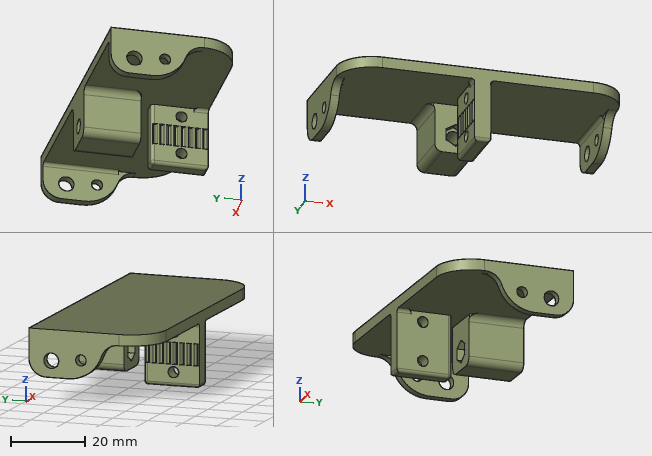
import cadquery as cq
import math


length = 79.7
width = 35.9
plate_thickness = 3.1
plate_corner_radius = 10.0

ear_thickness = 2.5
ear_depth = 13.2
ear_rear_radius = 5.0
ear_front_radius = 10.05
ear_root_radius = 5.0
ear_flat_end = 11.4
pivot_hole_diameter = 4.2
pivot_hole_setback = 6.45
pivot_hole_depth = 8.6
pin_hole_diameter = 3.0
pin_hole_setback = 15.0
pin_hole_depth = 7.9

root_fillet = 0.95
tab_root_fillet = 2.0
tab_root_front_step = 0.3

tab_width = 11.95
tab_length = 15.95
tab_depth = 17.05
tab_centre_x = -2.8
tab_corner_radius = 2.15
screw_hole_diameter = 4.0
screw_hole_depth = 11.8
nut_across_flats = 5.5
nut_pocket_length = 2.4

blade_thickness = 4.6
blade_length = 15.95
blade_depth = 21.0
blade_centre_x = -1.5
blade_edge_fillet = 0.95
blade_root_fillet_length = 3.1
clamp_hole_diameter = 3.0
clamp_hole_from_front = 7.5
clamp_hole_depths = (6.0, 17.05)
tooth_count = 8
tooth_pitch = blade_length / tooth_count
tooth_half_width = 0.7
tooth_entry_radius = 0.2
tooth_bottom_radius = 0.55
tooth_top_depth = 8.85
tooth_height = 6.05

plate_bottom = -plate_thickness
cos_45 = math.sqrt(0.5)


def block(x_min, x_max, y_min, y_max, z_min, z_max):
    size = (x_max - x_min, y_max - y_min, z_max - z_min)
    return cq.Workplane("XY").box(*size, centered=False).translate((x_min, y_min, z_min))


def cylinder_along_x(x_start, span, y, z, diameter):
    return cq.Workplane("YZ", origin=(x_start, y, z)).circle(diameter / 2).extrude(span)


def root_strip(wall_x, side, radius, plan):
    """Concave fillet between the plate and a wall at wall_x, kept inside the plan outline.

    side is -1 or +1, the direction the wall faces. The plan points are (distance from wall, y).
    """
    arc_offset = radius * (1 - cos_45)
    profile = (
        cq.Workplane("XZ", origin=(wall_x, 0, plate_bottom))
        .lineTo(side * radius, 0)
        .threePointArc((side * arc_offset, -arc_offset), (0, -radius))
        .close()
        .extrude(width)
    )
    outline = [(wall_x + side * distance, y) for distance, y in plan]
    base = cq.Workplane("XY", origin=(0, 0, plate_bottom - radius))
    limits = base.polyline(outline).close().extrude(radius)
    return profile.intersect(limits)


def straight_plan(radius, y_min, y_max):
    return [(0, y_min), (radius, y_min), (radius, y_max), (0, y_max)]


def make_plate():
    plate = block(-length / 2, length / 2, -width, 0, plate_bottom, 0)
    return plate.edges("|Z and <Y").fillet(plate_corner_radius)


def make_ear(side):
    drop = ear_depth - plate_thickness
    radius_sum = ear_front_radius + ear_root_radius
    sweep = math.acos(1 - drop / radius_sum)

    front_centre = (-ear_flat_end, -ear_depth + ear_front_radius)
    root_centre = (-ear_flat_end - radius_sum * math.sin(sweep), plate_bottom - ear_root_radius)

    def front_point(angle):
        return (
            front_centre[0] - ear_front_radius * math.sin(angle),
            front_centre[1] - ear_front_radius * math.cos(angle),
        )

    def root_point(angle):
        return (
            root_centre[0] + ear_root_radius * math.sin(angle),
            root_centre[1] + ear_root_radius * math.cos(angle),
        )

    rear_offset = ear_rear_radius * (1 - cos_45)
    inner_x = side * (length / 2 - ear_thickness)
    ear = (
        cq.Workplane("YZ", origin=(inner_x, 0, 0))
        .lineTo(0, -ear_depth + ear_rear_radius)
        .threePointArc((-rear_offset, -ear_depth + rear_offset), (-ear_rear_radius, -ear_depth))
        .lineTo(-ear_flat_end, -ear_depth)
        .threePointArc(front_point(sweep / 2), front_point(sweep))
        .threePointArc(root_point(sweep / 2), root_point(0))
        .lineTo(root_centre[0], 0)
        .close()
        .extrude(side * ear_thickness)
    )
    fillet_end = front_point(sweep)[0]
    return ear.union(root_strip(inner_x, -side, root_fillet, straight_plan(root_fillet, fillet_end, 0)))


def make_tab():
    x_min = tab_centre_x - tab_width / 2
    x_max = tab_centre_x + tab_width / 2
    tab = block(x_min, x_max, -tab_length, 0, -tab_depth, 0)
    tab = tab.edges("|Y and <Z").fillet(tab_corner_radius)
    slant = tab_root_fillet - tab_root_front_step
    plan = [
        (0, -tab_length),
        (tab_root_front_step, -tab_length),
        (tab_root_fillet, -tab_length + slant),
        (tab_root_fillet, 0),
        (0, 0),
    ]
    for wall_x, side in ((x_min, -1), (x_max, 1)):
        tab = tab.union(root_strip(wall_x, side, tab_root_fillet, plan))
    return tab


def cut_screw_hole(body):
    front_face = cq.Workplane("XZ", origin=(tab_centre_x, -tab_length, -screw_hole_depth))
    hole = front_face.circle(screw_hole_diameter / 2).extrude(-tab_length)
    across_corners = nut_across_flats / math.cos(math.pi / 6)
    pocket = (
        front_face.transformed(rotate=(0, 0, 90))
        .polygon(6, across_corners)
        .extrude(-nut_pocket_length)
    )
    return body.cut(hole).cut(pocket)


def make_tooth_groove(face_x, y):
    lip = tooth_entry_radius
    half_bottom = tooth_half_width - lip
    lip_middle_x = lip * (1 - cos_45)
    lip_middle_y = tooth_half_width - lip * cos_45

    arc_centre_y = tooth_bottom_radius - half_bottom
    arc_sweep = math.acos(arc_centre_y / tooth_bottom_radius)
    arc_middle_x = lip + tooth_bottom_radius * math.sin(arc_sweep / 2)
    arc_middle_y = tooth_bottom_radius * math.cos(arc_sweep / 2) - arc_centre_y
    crease_x = lip + tooth_bottom_radius * math.sin(arc_sweep)

    return (
        cq.Workplane("XY", origin=(face_x, y, -tooth_top_depth))
        .moveTo(0, -tooth_half_width)
        .threePointArc((lip_middle_x, -lip_middle_y), (lip, -half_bottom))
        .threePointArc((arc_middle_x, -arc_middle_y), (crease_x, 0))
        .threePointArc((arc_middle_x, arc_middle_y), (lip, half_bottom))
        .threePointArc((lip_middle_x, lip_middle_y), (0, tooth_half_width))
        .close()
        .extrude(-tooth_height)
    )


def make_blade():
    x_min = blade_centre_x - blade_thickness / 2
    x_max = blade_centre_x + blade_thickness / 2
    y_rear = -width + blade_length
    blade = block(x_min, x_max, -width, y_rear, -blade_depth, 0)
    blade = blade.edges("<Z or (|Z and >Y)").fillet(blade_edge_fillet)

    for index in range(tooth_count):
        y = -width + (index + 0.5) * tooth_pitch
        blade = blade.cut(make_tooth_groove(x_min, y))

    for depth in clamp_hole_depths:
        y = -width + clamp_hole_from_front
        blade = blade.cut(cylinder_along_x(x_min, blade_thickness, y, -depth, clamp_hole_diameter))

    fillet_end = -width + blade_root_fillet_length
    plan = [(0, -width), (root_fillet, -width), (root_fillet, fillet_end), (0, fillet_end + root_fillet)]
    for wall_x, side in ((x_min, -1), (x_max, 1)):
        blade = blade.union(root_strip(wall_x, side, root_fillet, plan))
    return blade


def cut_ear_holes(body):
    ear_holes = (
        (pivot_hole_setback, pivot_hole_depth, pivot_hole_diameter),
        (pin_hole_setback, pin_hole_depth, pin_hole_diameter),
    )
    for setback, depth, diameter in ear_holes:
        for x_start in (-length / 2, length / 2 - ear_thickness):
            body = body.cut(cylinder_along_x(x_start, ear_thickness, -setback, -depth, diameter))
    return body


bracket = make_plate()
for side in (-1, 1):
    bracket = bracket.union(make_ear(side))
bracket = bracket.union(make_tab())
bracket = bracket.union(make_blade())
bracket = cut_ear_holes(bracket)
bracket = cut_screw_hole(bracket)

result = bracket